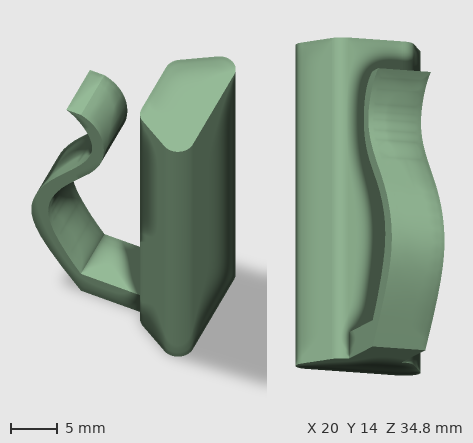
import cadquery as cq

block_height = 34.8
block_depth = 7.0
narrow_half_width = 4.1
wide_half_width = 8.35
edge_radius = 1.75

clip_width = 6.0
foot_length = 7.17
foot_thickness = 2.85
clip_height = 29.85
tip_x = -8.87
tip_flat_length = 1.7
foot_overlap = 0.35


def make_block():
    """Trapezoid extruded along Z, with all four upright edges rounded."""
    return (
        cq.Workplane("XY")
        .polyline([
            (0, -narrow_half_width),
            (block_depth, -wide_half_width),
            (block_depth, wide_half_width),
            (0, narrow_half_width),
        ])
        .close()
        .extrude(block_height)
        .edges("|Z")
        .fillet(edge_radius)
    )


def make_clip():
    """Foot and spring arm, drawn as one XZ outline and extruded across Y."""
    outer_face = [
        (-10.7, 4.77),
        (-12.98, 10.55),
        (-11.03, 16.4),
        (-7.85, 20.45),
        (-5.85, 24.9),
        (-6.93, 27.98),
        (tip_x, clip_height),
    ]
    inner_face = [
        (-5.08, 27.98),
        (-4.5, 24.85),
        (-4.75, 23.2),
        (-6.12, 20.45),
        (-9.33, 16.4),
        (-11.0, 11.6),
        (-9.92, 7.48),
        (-foot_length, foot_thickness),
    ]
    return (
        cq.Workplane("XZ", origin=(0, clip_width / 2, 0))
        .moveTo(foot_overlap, 0)
        .lineTo(-foot_length, 0)
        .spline(outer_face, includeCurrent=True)
        .lineTo(tip_x + tip_flat_length, clip_height)
        .spline(inner_face, includeCurrent=True)
        .lineTo(foot_overlap, foot_thickness)
        .close()
        .extrude(clip_width)
    )


result = make_block().union(make_clip())